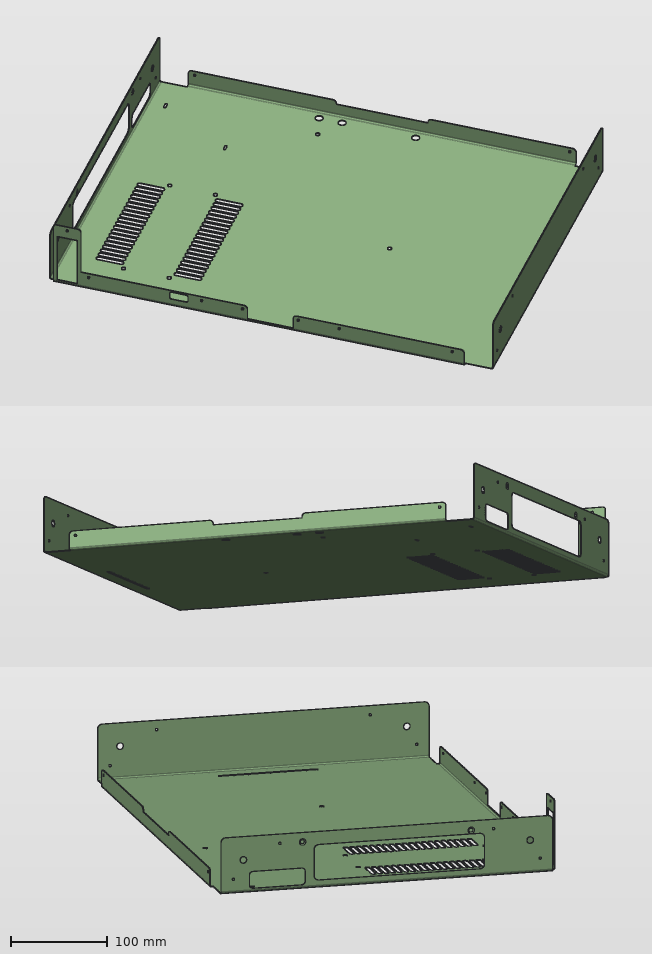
import cadquery as cq
tray_length = 485.0
tray_width = 364.0
tray_height = 75.0
half_length = tray_length / 2
half_width = tray_width / 2

sheet = 1.0
bend_radius = 1.4
bend = sheet + bend_radius

side_height = 60.0
side_half_span = 178.0
side_corner_radius = 5.0

flange_height = 20.0
flange_right_end = 212.0
rear_flange_left_end = -212.0
flange_corner_radius = 4.0
front_notch_half_length = 25.0
rear_notch_half_length = 50.0
front_notch_floor = 3.5
rear_notch_floor = 15.0

tab_left = -237.0
tab_width = 30.0
tab_right = tab_left + tab_width
tab_center = (tab_left + tab_right) / 2
tab_corner_radius = 3.0
tab_hole_z = 70.0
tab_window_width = 22.0
tab_window_z = (4.0, 60.0)

rivet_diameter = 2.46
rivet_z = 15.0
front_rivet_x = [30.4, 75.2, 198.7]
rear_rivet_x = 205.0
side_low_rivet_y = 164.7
side_high_rivet_y = 114.7
side_high_rivet_z = 50.0

flange_window_x = (-110.0, -90.0)
flange_window_z = (9.0, 18.0)
flange_window_radius = 2.0

mount_diameter = 7.0
mount_y = 154.0
mount_z = 35.0
countersink_diameter = 7.0
countersink_bore = 4.13
countersink_y = 90.5
countersink_z = 50.0
low_window_y = (87.5, 147.5)
low_window_z = (4.0, 22.0)
low_window_radius = 4.0
large_window_y = (-105.0, 78.0)
large_window_z = (8.0, 46.0)
large_window_radius = 5.0

fan_center = (-150.3, -62.5)
fan_hole_diameter = 4.5
fan_hole_pitch_x = 50.0
fan_hole_pitch_y = 150.0
vent_count = 20
vent_pitch = 7.0
vent_length = 30.0
vent_width = 5.0
vent_column_offset = 42.7

cable_hole_diameter = 8.3
cable_hole_y = 171.0
cable_hole_x = [-65.3, -40.2, 40.2]
floor_hole_diameter = 4.5
floor_holes = [(-58.0, 144.5), (75.0, -17.0)]
small_slot_length = 7.0
small_slot_width = 2.46
small_slots = [(-223.0, 140.5), (-141.5, 92.2)]
long_slot_length = 107.0
long_slot_width = 3.4
long_slot_x = 223.0


def box(x_range, y_range, z_range):
    """Axis-aligned block between pairs of limits."""
    size = [high - low for low, high in (x_range, y_range, z_range)]
    start = (x_range[0], y_range[0], z_range[0])
    return cq.Workplane("XY").box(*size, centered=False).translate(start)


def folded_wall(length, height):
    """Upright wall running along +X from the origin, outer face at Y = 0, with its bend to the floor."""
    return (
        cq.Workplane("YZ")
        .moveTo(0, height)
        .lineTo(0, bend)
        .radiusArc((bend, 0), -bend)
        .lineTo(bend, sheet)
        .radiusArc((sheet, bend), bend_radius)
        .lineTo(sheet, height)
        .close()
        .extrude(length)
    )


def side_wall():
    """Wall along Y with its outer face at the left end of the tray and rounded upper corners."""
    return (
        folded_wall(2 * side_half_span, side_height)
        .edges("|Y and >Z")
        .fillet(side_corner_radius)
        .rotate((0, 0, 0), (0, 0, 1), -90)
        .translate((-half_length, side_half_span, 0))
    )


def notch(half_span, floor_z, y_range):
    """Block that lowers the middle of a flange to floor_z."""
    return box((-half_span, half_span), y_range, (floor_z, tray_height))


def round_corners(flange, stations, z, radius):
    """Round the flange edges running through the sheet at the given X stations and height."""
    reach = 0.1
    for x in stations:
        corner = cq.selectors.BoxSelector(
            (x - reach, -tray_width, z - reach), (x + reach, tray_width, z + reach)
        )
        flange = flange.edges("|Y").edges(corner).fillet(radius)
    return flange


def front_flange():
    """Front flange with the tall tab at its left end and a deep notch in the middle."""
    y_range = (-half_width, -half_width + bend)
    flange = folded_wall(flange_right_end - tab_left, tray_height).translate((tab_left, -half_width, 0))
    flange = flange.cut(box((tab_right, half_length), y_range, (flange_height, tray_height)))
    flange = flange.cut(notch(front_notch_half_length, front_notch_floor, y_range))
    flange = round_corners(flange, [tab_left, tab_right], tray_height, tab_corner_radius)
    stations = [-front_notch_half_length, front_notch_half_length, flange_right_end]
    return round_corners(flange, stations, flange_height, flange_corner_radius)


def rear_flange():
    """Rear flange with a shallow step down along its middle."""
    y_range = (half_width - bend, half_width)
    length = flange_right_end - rear_flange_left_end
    flange = (
        folded_wall(length, flange_height)
        .rotate((0, 0, 0), (0, 0, 1), 180)
        .translate((flange_right_end, half_width, 0))
    )
    flange = flange.cut(notch(rear_notch_half_length, rear_notch_floor, y_range))
    stations = [
        rear_flange_left_end,
        -rear_notch_half_length,
        rear_notch_half_length,
        flange_right_end,
    ]
    return round_corners(flange, stations, flange_height, flange_corner_radius)


def floor():
    """Flat floor, with tongues reaching to the bends of the front and rear flanges."""
    half_flat = half_length - bend
    tongue_end = half_width - bend
    z_range = (0, sheet)
    plate = box((-half_flat, half_flat), (-side_half_span, side_half_span), z_range)
    plate = plate.union(box((tab_left, flange_right_end), (-tongue_end, 0), z_range))
    return plate.union(box((rear_flange_left_end, flange_right_end), (0, tongue_end), z_range))


def mirrored(coordinates, height):
    """Points at plus and minus each coordinate, all at one height."""
    return [(side * value, height) for value in coordinates for side in (-1, 1)]


def round_holes(plane, points, diameter, depth):
    """Cylinders at the given points of a plane."""
    return cq.Workplane(plane).pushPoints(points).circle(diameter / 2).extrude(depth)


def floor_slots(points, length, width, angle):
    """Round-ended slot cutters through the floor, turned by angle from the X axis."""
    return cq.Workplane("XY").pushPoints(points).slot2D(length, width, angle).extrude(sheet)


def floor_cutters():
    """Through cutters for every opening in the floor."""
    fan_x, fan_y = fan_center
    fan_holes = [
        (fan_x + side * fan_hole_pitch_x / 2, fan_y + end * fan_hole_pitch_y / 2)
        for side in (-1, 1)
        for end in (-1, 1)
    ]
    vents = [
        (fan_x + side * vent_column_offset, fan_y + (row - (vent_count - 1) / 2) * vent_pitch)
        for side in (-1, 1)
        for row in range(vent_count)
    ]
    cable_holes = [(x, cable_hole_y) for x in cable_hole_x]
    plane = cq.Plane.XY()
    return [
        round_holes(plane, fan_holes, fan_hole_diameter, sheet),
        round_holes(plane, cable_holes, cable_hole_diameter, sheet),
        round_holes(plane, floor_holes, floor_hole_diameter, sheet),
        floor_slots(vents, vent_length, vent_width, 0),
        floor_slots(small_slots, small_slot_length, small_slot_width, 90),
        floor_slots([(long_slot_x, 0)], long_slot_length, long_slot_width, 90),
    ]


def front_cutters():
    """Cutters through the front flange and its tab."""
    y_range = (-half_width, -half_width + bend)
    plane = cq.Plane.XZ(origin=(0, -half_width + bend, 0))
    rivets = mirrored(front_rivet_x, rivet_z) + [(tab_center, tab_hole_z)]
    half_window = tab_window_width / 2
    tab_window_x = (tab_center - half_window, tab_center + half_window)
    tab_window = box(tab_window_x, y_range, tab_window_z)
    flange_window = box(flange_window_x, y_range, flange_window_z)
    return [
        round_holes(plane, rivets, rivet_diameter, bend),
        tab_window,
        flange_window.edges("|Y").fillet(flange_window_radius),
    ]


def rear_cutter():
    """Fixing holes near both ends of the rear flange."""
    plane = cq.Plane.XZ(origin=(0, half_width, 0))
    return round_holes(plane, mirrored([rear_rivet_x], rivet_z), rivet_diameter, bend)


def both_side_cutters():
    """Holes shared by the left and right walls, cut across the whole tray."""
    plane = cq.Plane.YZ(origin=(-half_length, 0, 0))
    rivets = mirrored([side_low_rivet_y], rivet_z) + mirrored([side_high_rivet_y], side_high_rivet_z)
    return [
        round_holes(plane, rivets, rivet_diameter, tray_length),
        round_holes(plane, mirrored([mount_y], mount_z), mount_diameter, tray_length),
    ]


def countersink(y):
    """Conical hole through the left wall, widest at the outer face."""
    plane = cq.Workplane("YZ", origin=(-half_length, y, countersink_z))
    return (
        plane.circle(countersink_diameter / 2)
        .workplane(offset=sheet)
        .circle(countersink_bore / 2)
        .loft(ruled=True)
    )


def left_wall_cutters():
    """Windows and countersunk holes found only in the left wall."""
    x_range = (-half_length, -half_length + bend)
    low_window = box(x_range, low_window_y, low_window_z)
    large_window = box(x_range, large_window_y, large_window_z)
    return [
        low_window.edges("|X").fillet(low_window_radius),
        large_window.edges("|X").fillet(large_window_radius),
        countersink(-countersink_y),
        countersink(countersink_y),
    ]


left_wall = side_wall()
tray = floor().union(left_wall).union(left_wall.mirror("YZ"))
tray = tray.union(front_flange()).union(rear_flange())
cutters = floor_cutters() + front_cutters() + both_side_cutters() + left_wall_cutters() + [rear_cutter()]
for cutter in cutters:
    tray = tray.cut(cutter)

result = tray